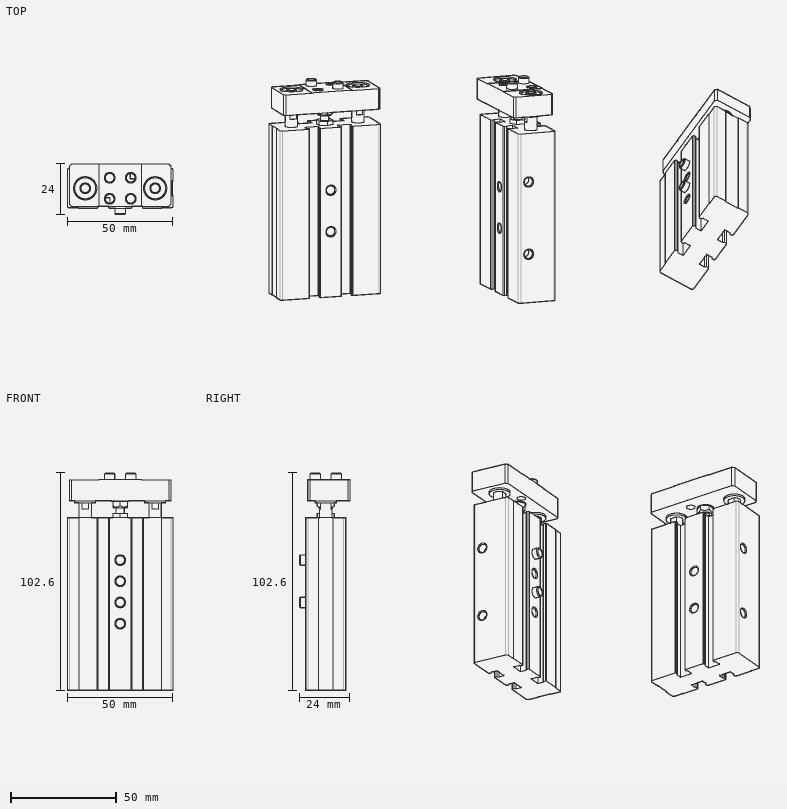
import cadquery as cq
import math

housing_width = 50.0
housing_depth = 19.0
housing_height = 81.7
housing_corner_radius = 1.0
band_half_width = 19.5
band_height = 0.2
side_groove_width = 7.0
side_groove_depth = 0.3

slot_offset = 8.0
slot_neck_width = 5.0
slot_inner_width = 6.4
slot_depth = 4.9
slot_neck_depth = 1.4
slot_edge_chamfer = 0.4

thread_bore = 4.1
thread_size = 5.0
thread_chamfer = (thread_size - thread_bore) / 2

port_depth = 5.0
port_tip_angle = 118
port_y = 4.5
port_end_distance = 23.4

mount_pitch = 20.0
top_pin_depth = 20.1
top_pin_z = housing_height - top_pin_depth
mount_pin_heights = [top_pin_z - i * mount_pitch for i in range(2)]
mount_hole_heights = [z - mount_pitch / 2 for z in mount_pin_heights]

pin_protrusion = 3.0
pin_seat_depth = 5.0

plate_width = 48.0
plate_depth = 20.0
plate_height = 10.0
plate_corner_chamfer = 1.0
plate_rear_y = 11.5
plate_y = plate_rear_y - plate_depth / 2
pad_width = 20.0
pad_height = 0.2
overall_height = 102.6
pad_top_z = overall_height - pin_protrusion
plate_top_z = pad_top_z - pad_height
plate_bottom_z = plate_top_z - plate_height
plate_hole_offset = 9.7 / 2

rod_offset = 16.5
rod_diameter = 6.0
rod_seat_depth = 2 * rod_diameter
collar_diameter = 10.0
collar_drop = 0.9
collar_recess_diameter = 11.0
collar_recess_depth = (collar_recess_diameter - collar_diameter) / 2
collar_bottom_z = plate_bottom_z - collar_drop
collar_top_z = plate_top_z - collar_recess_depth
wrench_flat_size = 5.0
wrench_flat_height = 3.0

stud_diameter = 4.0
hex_across_flats = 7.0
stud_head_height = 2.0
washer_diameter = 8.0
washer_height = 0.3
nut_height = 3.1
nut_chamfer_diameter = 6.1
nut_chamfer_height = 0.5


def cylinder(diameter, height, x, y, z):
    """Upright cylinder standing on height z."""
    return cq.Workplane("XY", origin=(x, y, z)).circle(diameter / 2).extrude(height)


def hex_prism(height, z):
    """Hexagon on the Z axis with two flats facing -X and +X."""
    corner_diameter = hex_across_flats / math.cos(math.pi / 6)
    return (
        cq.Workplane("XY", origin=(0, 0, z))
        .transformed(rotate=(0, 0, 30))
        .polygon(6, corner_diameter)
        .extrude(height)
    )


def chamfered_hole(start, direction, depth):
    """Cutter for a round hole with a chamfered mouth at start, drilled along direction."""
    mouth = cq.Solid.makeCone(
        thread_size / 2, thread_bore / 2, thread_chamfer, cq.Vector(start), cq.Vector(direction)
    )
    bore = cq.Solid.makeCylinder(thread_bore / 2, depth, cq.Vector(start), cq.Vector(direction))
    return cq.Workplane(bore).union(cq.Workplane(mouth))


def pin_seat(start, direction):
    """Cutter for the blind hole that holds a pin."""
    return cq.Workplane(
        cq.Solid.makeCylinder(thread_size / 2, pin_seat_depth, cq.Vector(start), cq.Vector(direction))
    )


def make_pin(surface_point, outward):
    """Pin seated in a surface, with its free end chamfered."""
    axis = cq.Vector(outward)
    foot = cq.Vector(surface_point) - axis * pin_seat_depth
    shank_length = pin_seat_depth + pin_protrusion - thread_chamfer
    shank = cq.Solid.makeCylinder(thread_size / 2, shank_length, foot, axis)
    tip = cq.Solid.makeCone(
        thread_size / 2, thread_bore / 2, thread_chamfer, foot + axis * shank_length, axis
    )
    return cq.Workplane(shank).union(cq.Workplane(tip))


def sensor_slot(x, side):
    """Cutter for one T-slot; side is -1 for the front face and 1 for the rear face."""
    neck = slot_neck_width / 2
    inner = slot_inner_width / 2
    mouth = neck + slot_edge_chamfer
    half_profile = [
        (mouth, 0),
        (neck, slot_edge_chamfer),
        (neck, slot_neck_depth),
        (inner, slot_neck_depth + inner - neck),
        (inner, slot_depth),
    ]
    profile = half_profile + [(-across, depth) for across, depth in reversed(half_profile)]
    face_y = side * housing_depth / 2
    points = [(x + across, face_y - side * depth) for across, depth in profile]
    return cq.Workplane("XY").polyline(points).close().extrude(housing_height)


def side_port(z):
    """Cutter for a port in the -X face with a drill-point bottom."""
    start = (-housing_width / 2, port_y, z)
    tip_length = thread_bore / 2 / math.tan(math.radians(port_tip_angle / 2))
    tip = cq.Solid.makeCone(
        thread_bore / 2, 0, tip_length, cq.Vector(start) + cq.Vector(port_depth, 0, 0), cq.Vector(1, 0, 0)
    )
    return chamfered_hole(start, (1, 0, 0), port_depth).union(cq.Workplane(tip))


def make_housing():
    front_y = -housing_depth / 2
    body = (
        cq.Workplane("XY", origin=(0, band_height / 2, 0))
        .rect(housing_width, housing_depth - band_height)
        .extrude(housing_height)
        .edges("|Z")
        .fillet(housing_corner_radius)
    )
    band = (
        cq.Workplane("XY", origin=(0, front_y + band_height / 2, 0))
        .rect(2 * band_half_width, band_height)
        .extrude(housing_height)
    )
    body = body.union(band)

    side_groove = (
        cq.Workplane("XY", origin=(housing_width / 2, 0, 0))
        .rect(2 * side_groove_depth, side_groove_width)
        .extrude(housing_height)
    )
    body = body.cut(side_groove)

    for x in (-slot_offset, slot_offset):
        for side in (-1, 1):
            body = body.cut(sensor_slot(x, side))

    for z in mount_hole_heights:
        body = body.cut(chamfered_hole((0, front_y, z), (0, 1, 0), housing_depth))
        body = body.cut(chamfered_hole((0, -front_y, z), (0, -1, 0), housing_depth))
    for z in mount_pin_heights:
        body = body.cut(pin_seat((0, front_y, z), (0, 1, 0)))

    for z in (port_end_distance, housing_height - port_end_distance):
        body = body.cut(side_port(z))

    for x in (-rod_offset, rod_offset):
        body = body.cut(cylinder(rod_diameter, rod_seat_depth, x, 0, housing_height - rod_seat_depth))
    return body


def make_stopper():
    """Stud with its hex head on the housing and its nut and washer against the plate."""
    stud = cylinder(stud_diameter, plate_bottom_z - housing_height, 0, 0, housing_height)
    head = hex_prism(stud_head_height, housing_height)
    nut_bottom_z = plate_bottom_z - washer_height - nut_height
    washer = cylinder(washer_diameter, washer_height, 0, 0, plate_bottom_z - washer_height)
    slope = (hex_across_flats - nut_chamfer_diameter) / 2 / nut_chamfer_height
    cone = cq.Workplane(
        cq.Solid.makeCone(
            nut_chamfer_diameter / 2,
            nut_chamfer_diameter / 2 + slope * nut_height,
            nut_height,
            cq.Vector(0, 0, nut_bottom_z),
        )
    )
    nut = hex_prism(nut_height, nut_bottom_z).intersect(cone)
    return stud.union(head).union(washer).union(nut)


def make_plate():
    plate = (
        cq.Workplane("XY", origin=(0, plate_y, plate_bottom_z))
        .rect(plate_width, plate_depth)
        .extrude(plate_height)
        .edges("|Z")
        .chamfer(plate_corner_chamfer)
    )
    pad = (
        cq.Workplane("XY", origin=(0, plate_y, plate_top_z))
        .rect(pad_width, plate_depth)
        .extrude(pad_height)
    )
    plate = plate.union(pad)

    for side in (-1, 1):
        offset = side * plate_hole_offset
        hole_depth = plate_height + pad_height
        plate = plate.cut(chamfered_hole((offset, offset, pad_top_z), (0, 0, -1), hole_depth))
        plate = plate.cut(pin_seat((offset, -offset, pad_top_z), (0, 0, -1)))

    for x in (-rod_offset, rod_offset):
        collar_bore = cylinder(collar_diameter, plate_height, x, 0, plate_bottom_z)
        recess = cq.Workplane(
            cq.Solid.makeCone(
                collar_diameter / 2,
                collar_recess_diameter / 2,
                collar_recess_depth,
                cq.Vector(x, 0, collar_top_z),
            )
        )
        plate = plate.cut(collar_bore).cut(recess)
    return plate.union(make_stopper())


def make_guide_rod(x):
    """Rod with wrench flats under a collar that fills the plate bore."""
    rod_bottom_z = housing_height - rod_seat_depth
    rod = cylinder(rod_diameter, collar_bottom_z - rod_bottom_z, x, 0, rod_bottom_z)
    flat_cut_depth = (rod_diameter - wrench_flat_size) / 2
    for side in (-1, 1):
        flat_y = side * (wrench_flat_size + flat_cut_depth) / 2
        flat = cq.Workplane("XY", origin=(x, flat_y, collar_bottom_z - wrench_flat_height)).rect(
            rod_diameter, flat_cut_depth
        )
        rod = rod.cut(flat.extrude(wrench_flat_height))
    collar = cylinder(collar_diameter, collar_top_z - collar_bottom_z, x, 0, collar_bottom_z)
    end_stub = cq.Workplane(
        cq.Solid.makeCone(
            thread_size / 2, thread_bore / 2, thread_chamfer, cq.Vector(x, 0, collar_top_z)
        )
    )
    return rod.union(collar).union(end_stub)


housing = make_housing()
plate = make_plate()
guide_rods = [make_guide_rod(x) for x in (-rod_offset, rod_offset)]
housing_pins = [make_pin((0, -housing_depth / 2, z), (0, -1, 0)) for z in mount_pin_heights]
plate_pins = [
    make_pin((side * plate_hole_offset, -side * plate_hole_offset, pad_top_z), (0, 0, 1))
    for side in (-1, 1)
]

bodies = [housing, plate, *guide_rods, *housing_pins, *plate_pins]
result = cq.Compound.makeCompound([body.solids().val() for body in bodies])